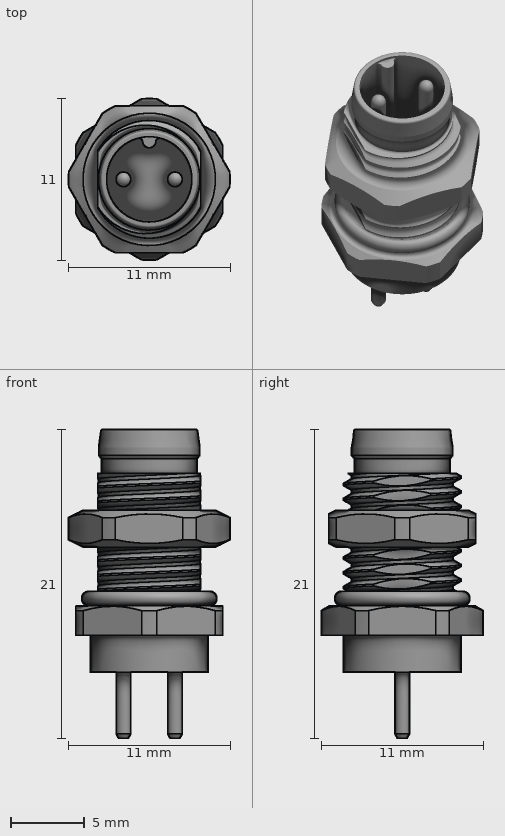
import cadquery as cq
import math


FLANGE_BOTTOM = 2.5
FLANGE_TOP = 4.5
THREAD_BOTTOM = 5.5
NUT_BOTTOM = 8.5
NUT_TOP = 11.0
THREAD_TOP = 13.5
NECK_TOP = 14.5
RIM_TOP = 16.5

THREAD_RADIUS = 4.0
PITCH = 1.0
FLANK_ANGLE = math.radians(30)
PROFILE_HEIGHT = PITCH / 2 / math.tan(FLANK_ANGLE)
ROOT_RADIUS = THREAD_RADIUS - 5 / 8 * PROFILE_HEIGHT
ROOT_WIDTH = PITCH / 4
GROOVE_CLEARANCE = 0.08
GROOVE_OVERRUN = 0.6 * PITCH
FLAT_DISTANCE = 3.5
SLAB_DEPTH = 4 * THREAD_RADIUS

ACROSS_FLATS = 10.0
CORNER_RADIUS = 5.5
NUT_FACE_RADIUS = 4.5
NUT_CHAMFER = 0.5
FLANGE_FACE_RADIUS = 4.95
FLANGE_CHAMFER = 0.32

HOUSING_RADIUS = 4.0
SEAL_SECTION_RADIUS = (THREAD_BOTTOM - FLANGE_TOP) / 2
SEAL_OUTER_RADIUS = 4.6
NECK_RADIUS = 3.25
HEAD_RADIUS = 3.45
HEAD_TOP_RADIUS = 3.28
HEAD_UNDERCUT_HEIGHT = 0.25
HEAD_STRAIGHT_HEIGHT = 0.5
RIM_FILLET = 0.15

BORE_RADIUS = 2.9
BORE_FLOOR = 10.0
FLOOR_FILLET = 0.1
KEY_HALF_WIDTH = 0.45
KEY_TIP_Y = 2.15
KEY_ROOT_FILLET = 0.25
KEY_RECESS = 0.2
KEY_OVERLAP = 1.0
CORNER_MARGIN = 0.1

PIN_RADIUS = 0.5
PIN_SPACING = 3.5
PIN_BOTTOM = -4.5
PIN_TOP = RIM_TOP - 0.25
PIN_TIP_RADIUS = 0.33
PIN_TIP_HEIGHT = 0.3


def cylinder(radius, bottom, top):
    return cq.Workplane("XY").workplane(offset=bottom).circle(radius).extrude(top - bottom)


def hexagon(bottom, top, turn, face_radius, chamfer, chamfer_bottom):
    """Hexagonal prism with its corners turned down and its end faces chamfered."""
    across_corners = ACROSS_FLATS / math.cos(math.pi / 6)
    prism = (
        cq.Workplane("XY")
        .workplane(offset=bottom)
        .polygon(6, across_corners)
        .extrude(top - bottom)
        .rotate((0, 0, 0), (0, 0, 1), turn)
    )
    outline = [(0, bottom)]
    if chamfer_bottom:
        outline += [(face_radius, bottom), (CORNER_RADIUS, bottom + chamfer)]
    else:
        outline += [(CORNER_RADIUS, bottom)]
    outline += [(CORNER_RADIUS, top - chamfer), (face_radius, top), (0, top)]
    envelope = cq.Workplane("XZ").polyline(outline).close().revolve(360, (0, 0), (0, 1))
    return prism.intersect(envelope)


def thread_groove(bottom, top):
    """Right-handed helical groove running past both ends of a length of thread.

    Above the +X axis the groove is centred half-way between whole pitches.
    """
    start = math.floor(bottom / PITCH - 1) * PITCH + PITCH / 2
    length = top + GROOVE_OVERRUN - start
    open_radius = THREAD_RADIUS + GROOVE_CLEARANCE
    root_half = ROOT_WIDTH / 2
    open_half = root_half + (open_radius - ROOT_RADIUS) * math.tan(FLANK_ANGLE)
    helix = cq.Wire.makeHelix(PITCH, length, ROOT_RADIUS, cq.Vector(0, 0, start))
    profile = cq.Workplane("XZ").polyline(
        [
            (ROOT_RADIUS, start - root_half),
            (open_radius, start - open_half),
            (open_radius, start + open_half),
            (ROOT_RADIUS, start + root_half),
        ]
    ).close()
    return profile.sweep(cq.Workplane(obj=helix), isFrenet=True)


def slab_between_flats(bottom, top):
    width = 2 * FLAT_DISTANCE
    return cq.Workplane("XY").workplane(offset=bottom).rect(width, SLAB_DEPTH).extrude(top - bottom)


def threaded_rod(bottom, top):
    """Length of thread with a flat on the -X and +X sides."""
    rod = cylinder(THREAD_RADIUS, bottom, top).cut(thread_groove(bottom, top))
    return rod.intersect(slab_between_flats(bottom, top))


def nut():
    """Chamfered hexagon nut, fused with the rod that passes through it."""
    return hexagon(NUT_BOTTOM, NUT_TOP, 0, NUT_FACE_RADIUS, NUT_CHAMFER, True)


def seal_ring():
    ring_radius = SEAL_OUTER_RADIUS - SEAL_SECTION_RADIUS
    middle = (FLANGE_TOP + THREAD_BOTTOM) / 2
    section = cq.Workplane("XZ").center(ring_radius, middle).circle(SEAL_SECTION_RADIUS)
    return section.revolve(360, (-ring_radius, 0), (-ring_radius, 1))


def head():
    """Neck and snap-in collar above the thread."""
    straight_bottom = NECK_TOP + HEAD_UNDERCUT_HEIGHT
    outline = [
        (0, THREAD_TOP),
        (NECK_RADIUS, THREAD_TOP),
        (NECK_RADIUS, NECK_TOP),
        (HEAD_RADIUS, straight_bottom),
        (HEAD_RADIUS, straight_bottom + HEAD_STRAIGHT_HEIGHT),
        (HEAD_TOP_RADIUS, RIM_TOP),
        (0, RIM_TOP),
    ]
    solid = cq.Workplane("XZ").polyline(outline).close().revolve(360, (0, 0), (0, 1))
    return solid.faces(">Z").edges().fillet(RIM_FILLET)


def socket():
    """Space inside the socket: a round bore with a rounded coding key left standing at +Y."""
    key_center_y = KEY_TIP_Y + KEY_HALF_WIDTH
    key_back_y = BORE_RADIUS + KEY_OVERLAP
    depth = RIM_TOP - KEY_RECESS - BORE_FLOOR
    floor = cq.Workplane("XY").workplane(offset=BORE_FLOOR)
    key = (
        floor.moveTo(-KEY_HALF_WIDTH, key_back_y)
        .lineTo(-KEY_HALF_WIDTH, key_center_y)
        .threePointArc((0, KEY_TIP_Y), (KEY_HALF_WIDTH, key_center_y))
        .lineTo(KEY_HALF_WIDTH, key_back_y)
        .close()
        .extrude(depth)
    )
    key_corners = cq.selectors.BoxSelector(
        (-KEY_HALF_WIDTH - CORNER_MARGIN, key_center_y + CORNER_MARGIN, BORE_FLOOR),
        (KEY_HALF_WIDTH + CORNER_MARGIN, BORE_RADIUS, RIM_TOP),
    )
    space = floor.circle(BORE_RADIUS).extrude(depth).cut(key)
    space = space.edges("|Z").edges(key_corners).fillet(KEY_ROOT_FILLET)
    return space.faces("<Z").edges().fillet(FLOOR_FILLET)


def pin(x):
    """Contact pin with a domed mating end and a tapered solder end."""
    dome_base = PIN_TOP - PIN_RADIUS
    dome_step = PIN_RADIUS * math.sqrt(0.5)
    profile = (
        cq.Workplane("XZ")
        .moveTo(0, PIN_BOTTOM)
        .lineTo(PIN_TIP_RADIUS, PIN_BOTTOM)
        .lineTo(PIN_RADIUS, PIN_BOTTOM + PIN_TIP_HEIGHT)
        .lineTo(PIN_RADIUS, dome_base)
        .threePointArc((dome_step, dome_base + dome_step), (0, PIN_TOP))
        .close()
    )
    return profile.revolve(360, (0, 0), (0, 1)).translate((x, 0, 0))


def connector():
    body = cylinder(HOUSING_RADIUS, 0, FLANGE_BOTTOM)
    body = body.union(hexagon(FLANGE_BOTTOM, FLANGE_TOP, 90, FLANGE_FACE_RADIUS, FLANGE_CHAMFER, False))
    body = body.union(cylinder(THREAD_RADIUS, FLANGE_TOP, THREAD_BOTTOM))
    body = body.union(seal_ring())
    body = body.union(threaded_rod(THREAD_BOTTOM, NUT_BOTTOM))
    body = body.union(nut())
    body = body.union(threaded_rod(NUT_TOP, THREAD_TOP))
    body = body.union(head())
    body = body.cut(cylinder(BORE_RADIUS, RIM_TOP - KEY_RECESS, RIM_TOP))
    body = body.cut(socket())
    for side in (-1, 1):
        body = body.union(pin(side * PIN_SPACING / 2))
    return body


result = connector()